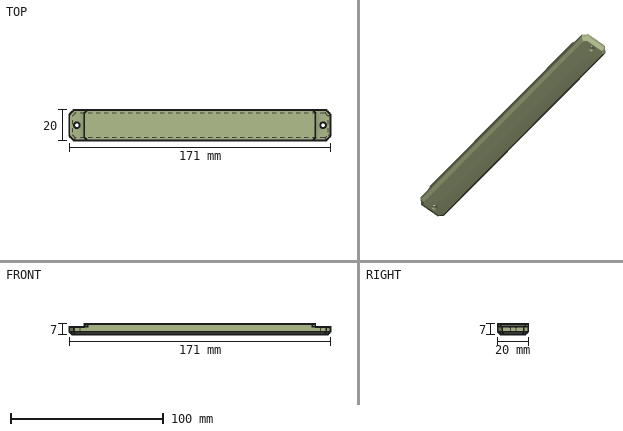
import cadquery as cq

length = 170.99
width = 20.0
total_height = 7.0
base_corner = 3.0
bottom_bevel = 2.0

pad_height = 2.0
end_tab = 10.0
pad_corner = 2.0

hole_diameter = 3.6

base_height = total_height - pad_height
pad_length = length - 2 * end_tab
hole_offset = (length - end_tab) / 2


def bevelled_plate(plate_length, height, corner):
    """Flat plate standing on z = 0 with its four vertical corners bevelled."""
    plate = cq.Workplane("XY").box(plate_length, width, height, centered=(True, True, False))
    return plate.edges("|Z").chamfer(corner)


def make_base():
    """Base bar with a bevel around its bottom face."""
    base = bevelled_plate(length, base_height, base_corner)
    return base.faces("<Z").edges().chamfer(bottom_bevel)


def make_pad():
    """Raised pad resting on top of the base."""
    pad = bevelled_plate(pad_length, pad_height, pad_corner)
    return pad.translate((0, 0, base_height))


def drill_mounting_holes(body):
    """Through holes on the centre line, one in each end tab."""
    return (
        body.faces("<Z")
        .workplane(origin=(0, 0, 0))
        .pushPoints([(-hole_offset, 0), (hole_offset, 0)])
        .circle(hole_diameter / 2)
        .cutThruAll()
    )


result = drill_mounting_holes(make_base().union(make_pad()))